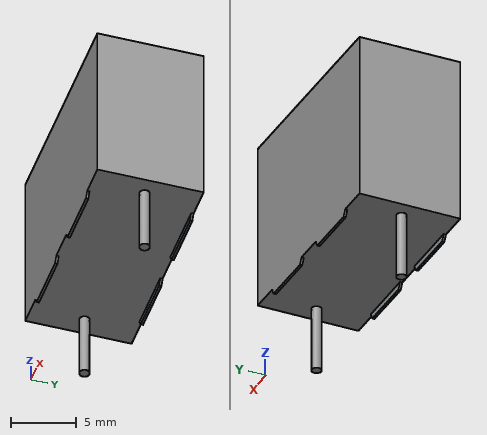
import cadquery as cq
import math

case_length = 18.0
case_width = 8.5
overall_height = 19.5
lead_length = 5.5
case_height = overall_height - lead_length

lead_diameter = 0.8
lead_pitch = 15.0

foot_height = 0.5
foot_thickness = 0.2
foot_root_length = 5.23
foot_flank_angle = 60.0
foot_tip_length = foot_root_length - 2 * foot_height / math.tan(math.radians(foot_flank_angle))
foot_spacing_x = 7.7
foot_spacing_y = case_width - foot_thickness


def make_case():
    """Plain block whose underside lies on Z = 0."""
    return cq.Workplane("XY").box(case_length, case_width, case_height, centered=(True, True, False))


def make_leads():
    """Two round leads hanging from the underside."""
    return (
        cq.Workplane("XY")
        .pushPoints([(-lead_pitch / 2, 0), (lead_pitch / 2, 0)])
        .circle(lead_diameter / 2)
        .extrude(-lead_length)
    )


def make_foot(center_x, center_y):
    """Thin trapezoidal foot hanging from the underside, narrower at its tip."""
    outline = [
        (-foot_root_length / 2, 0),
        (-foot_tip_length / 2, -foot_height),
        (foot_tip_length / 2, -foot_height),
        (foot_root_length / 2, 0),
    ]
    return (
        cq.Workplane("XZ", origin=(center_x, center_y, 0))
        .polyline(outline)
        .close()
        .extrude(foot_thickness / 2, both=True)
    )


result = make_case().union(make_leads())
for foot_x in (-foot_spacing_x / 2, foot_spacing_x / 2):
    for foot_y in (-foot_spacing_y / 2, foot_spacing_y / 2):
        result = result.union(make_foot(foot_x, foot_y))